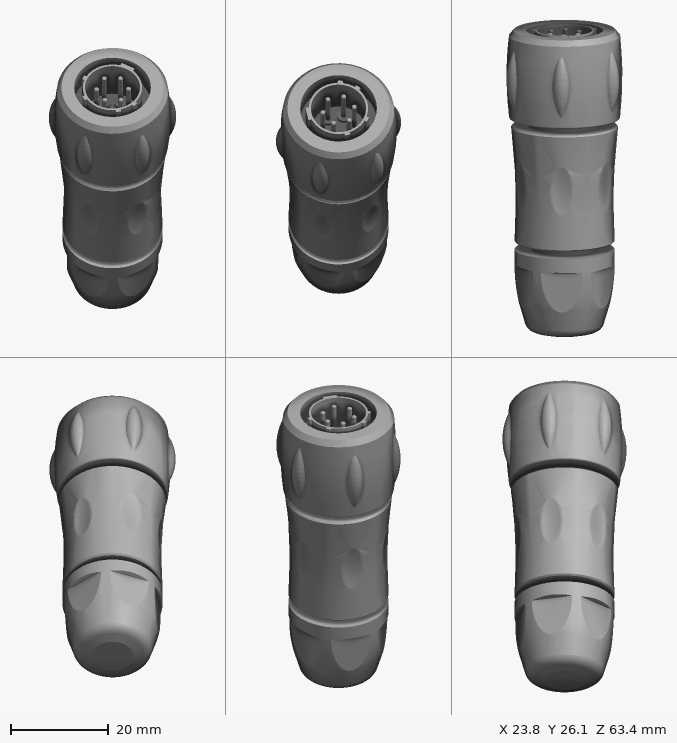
import cadquery as cq
import math

LENGTH = 63.4
AROUND = 6
STEP = 360.0 / AROUND

SLEEVE_BOTTOM = 45.0
SLEEVE_FACE_RADIUS = 10.45
SLEEVE_END_RADIUS = 11.4
SLEEVE_BELLY_RADIUS = 11.9
SLEEVE_TOP_CHAMFER = 1.15
SLEEVE_LIP_HEIGHT = 0.4
SLEEVE_LIP_RADIUS = 11.0

UPPER_NECK_RADIUS = 7.55
LOWER_NECK_RADIUS = 6.8

BODY_TOP = 43.5
BODY_BOTTOM = 19.1
BODY_TOP_RADIUS = 10.95
BODY_WAIST_RADIUS = 10.1
BODY_WAIST_HEIGHT = 30.45
BODY_BOTTOM_RADIUS = 10.3
BODY_EDGE = 0.3

NUT_TOP = 17.55
NUT_RADIUS = 10.3
NUT_STRAIGHT_END = 14.5
NUT_CURVE_END = 1.9
NUT_CURVE_END_RADIUS = 8.05
NOSE_MID_RADIUS = 7.4
NOSE_MID_HEIGHT = 1.0
NOSE_EDGE_RADIUS = 6.45
NOSE_EDGE_HEIGHT = 0.5
END_FACE_RADIUS = 4.3
FLAT_DISTANCE = 9.3
FLAT_TOP = 14.4
SHELF_RISE = 0.3

BUMP_TIP_RADIUS = 13.05
BUMP_HALF_WIDTH = 1.85
BUMP_END_RADIUS = 0.4
BUMP_HEIGHT = 12.8
BUMP_CENTRE = 53.8

DIMPLE_CENTRE = 30.95
DIMPLE_FLOOR_RADIUS = 9.65
DIMPLE_CROSS_RADIUS = 10.15
DIMPLE_LENGTH_RADIUS = 23.15
DIMPLE_CUTTER_HALF = 6.35
DIMPLE_EDGE_FILLET = 0.95

SOCKET_RADIUS = 7.85
SOCKET_DEPTH = 5.15
SHELL_RADIUS = 6.1
SHELL_BORE_RADIUS = 5.65
SHELL_BORE_DEPTH = 8.9
KEY_REACH = 6.6
WIDE_KEY_WIDTH = 3.0
NARROW_KEY_WIDTH = 1.1
WIDE_KEY_ANGLE = 90.0
NARROW_KEY_ANGLES = (185.0, 235.0, 310.0, 345.0)

PIN_CIRCLE_RADIUS = 3.3
PIN_RADIUS = 0.5
PIN_TIP_CHAMFER = 0.2
PIN_TIP_DEPTH = 0.3
PIN_COLLAR_RADIUS = 1.3
PIN_COLLAR_HEIGHT = 0.65


def ring_of(shape):
    """Copies of a shape placed on the -Y side, repeated evenly around the Z axis."""
    copies = []
    for index in range(AROUND):
        copies.append(shape.rotate((0, 0, 0), (0, 0, 1), index * STEP))
    return cq.Workplane(cq.Compound.makeCompound(copies))


def cylinder(radius, bottom, top):
    return cq.Workplane("XY").workplane(offset=bottom).circle(radius).extrude(top - bottom)


def revolve_profile(profile):
    """Close an (R, Z) outline drawn on the XZ plane and turn it around the Z axis."""
    return profile.close().revolve(360, (0, 0, 0), (0, 1, 0))


def make_sleeve():
    belly_top = LENGTH - SLEEVE_TOP_CHAMFER
    belly_bottom = SLEEVE_BOTTOM + SLEEVE_LIP_HEIGHT
    sleeve = revolve_profile(
        cq.Workplane("XZ")
        .moveTo(0, SLEEVE_BOTTOM)
        .lineTo(SLEEVE_LIP_RADIUS, SLEEVE_BOTTOM)
        .tangentArcPoint((SLEEVE_END_RADIUS, belly_bottom), relative=False)
        .threePointArc(
            (SLEEVE_BELLY_RADIUS, (belly_top + belly_bottom) / 2),
            (SLEEVE_END_RADIUS, belly_top),
        )
        .lineTo(SLEEVE_FACE_RADIUS, LENGTH)
        .lineTo(0, LENGTH)
    )
    return sleeve.union(ring_of(make_bump()))


def make_bump():
    """Spindle standing in the sleeve wall, its axis parallel to Z."""
    half = BUMP_HEIGHT / 2
    spindle = revolve_profile(
        cq.Workplane("XZ")
        .moveTo(0, -half)
        .lineTo(BUMP_END_RADIUS, -half)
        .threePointArc((BUMP_HALF_WIDTH, 0), (BUMP_END_RADIUS, half))
        .lineTo(0, half)
    )
    axis_distance = BUMP_TIP_RADIUS - BUMP_HALF_WIDTH
    return spindle.val().translate(cq.Vector(0, -axis_distance, BUMP_CENTRE))


def make_body():
    body = revolve_profile(
        cq.Workplane("XZ")
        .moveTo(0, BODY_BOTTOM)
        .lineTo(BODY_BOTTOM_RADIUS - BODY_EDGE, BODY_BOTTOM)
        .lineTo(BODY_BOTTOM_RADIUS, BODY_BOTTOM + BODY_EDGE)
        .threePointArc(
            (BODY_WAIST_RADIUS, BODY_WAIST_HEIGHT),
            (BODY_TOP_RADIUS, BODY_TOP - BODY_EDGE),
        )
        .lineTo(BODY_TOP_RADIUS - BODY_EDGE, BODY_TOP)
        .lineTo(0, BODY_TOP)
    )
    body = body.cut(ring_of(make_dimple_cutter()))
    rim_zone = cq.selectors.BoxSelector(
        (-BODY_TOP_RADIUS, -BODY_TOP_RADIUS, DIMPLE_CENTRE - DIMPLE_CUTTER_HALF),
        (BODY_TOP_RADIUS, BODY_TOP_RADIUS, DIMPLE_CENTRE + DIMPLE_CUTTER_HALF),
        boundingbox=True,
    )
    return body.edges(rim_zone).fillet(DIMPLE_EDGE_FILLET)


def make_dimple_cutter():
    """Barrel beside the body whose bulge scoops a shallow oval out of the wall."""
    half = DIMPLE_CUTTER_HALF
    arc_drop = DIMPLE_LENGTH_RADIUS - math.sqrt(DIMPLE_LENGTH_RADIUS**2 - half**2)
    end_radius = DIMPLE_CROSS_RADIUS - arc_drop
    barrel = revolve_profile(
        cq.Workplane("XZ")
        .moveTo(0, -half)
        .lineTo(end_radius, -half)
        .threePointArc((DIMPLE_CROSS_RADIUS, 0), (end_radius, half))
        .lineTo(0, half)
    )
    axis_distance = DIMPLE_FLOOR_RADIUS + DIMPLE_CROSS_RADIUS
    return barrel.val().translate(cq.Vector(0, -axis_distance, DIMPLE_CENTRE))


def make_nut():
    nut = revolve_profile(
        cq.Workplane("XZ")
        .moveTo(0, NUT_TOP)
        .lineTo(NUT_RADIUS, NUT_TOP)
        .lineTo(NUT_RADIUS, NUT_STRAIGHT_END)
        .tangentArcPoint((NUT_CURVE_END_RADIUS, NUT_CURVE_END), relative=False)
        .threePointArc((NOSE_MID_RADIUS, NOSE_MID_HEIGHT), (NOSE_EDGE_RADIUS, NOSE_EDGE_HEIGHT))
        .lineTo(END_FACE_RADIUS, 0)
        .lineTo(0, 0)
    )
    return nut.cut(ring_of(make_flat_cutter()))


def make_flat_cutter():
    """Prism outside one wrench flat, topped by the sloping shelf."""
    flat_edge = (-FLAT_DISTANCE, FLAT_TOP)
    shelf_edge = (-NUT_RADIUS, FLAT_TOP + SHELF_RISE)
    return (
        cq.Workplane("YZ")
        .polyline([flat_edge, shelf_edge, (-NUT_RADIUS, 0), (-FLAT_DISTANCE, 0)])
        .close()
        .extrude(NUT_RADIUS / 2, both=True)
        .val()
    )


def make_key(width, angle):
    """Rib on the outside of the connector shell, from socket floor to mating face."""
    root = (SHELL_RADIUS + SHELL_BORE_RADIUS) / 2
    return (
        cq.Workplane("XY")
        .workplane(offset=LENGTH - SOCKET_DEPTH)
        .center((root + KEY_REACH) / 2, 0)
        .rect(KEY_REACH - root, width)
        .extrude(SOCKET_DEPTH)
        .rotate((0, 0, 0), (0, 0, 1), angle)
    )


def add_connector(part):
    """Sink the socket, then stand the keyed shell and the pins in it."""
    socket_floor = LENGTH - SOCKET_DEPTH
    bore_floor = LENGTH - SHELL_BORE_DEPTH
    part = part.cut(cylinder(SOCKET_RADIUS, socket_floor, LENGTH))
    part = part.union(cylinder(SHELL_RADIUS, socket_floor, LENGTH))
    part = part.union(make_key(WIDE_KEY_WIDTH, WIDE_KEY_ANGLE))
    for angle in NARROW_KEY_ANGLES:
        part = part.union(make_key(NARROW_KEY_WIDTH, angle))
    part = part.cut(cylinder(SHELL_BORE_RADIUS, bore_floor, LENGTH))

    pin = cylinder(PIN_RADIUS, bore_floor, LENGTH - PIN_TIP_DEPTH).faces(">Z").chamfer(PIN_TIP_CHAMFER)
    collar = cylinder(PIN_COLLAR_RADIUS, bore_floor, bore_floor + PIN_COLLAR_HEIGHT)
    contact = pin.union(collar).val().translate(cq.Vector(0, -PIN_CIRCLE_RADIUS, 0))
    return part.union(ring_of(contact))


upper_neck = cylinder(UPPER_NECK_RADIUS, BODY_TOP, SLEEVE_BOTTOM)
lower_neck = cylinder(LOWER_NECK_RADIUS, NUT_TOP, BODY_BOTTOM)
housing = make_nut().union(lower_neck).union(make_body()).union(upper_neck).union(make_sleeve())
result = add_connector(housing)